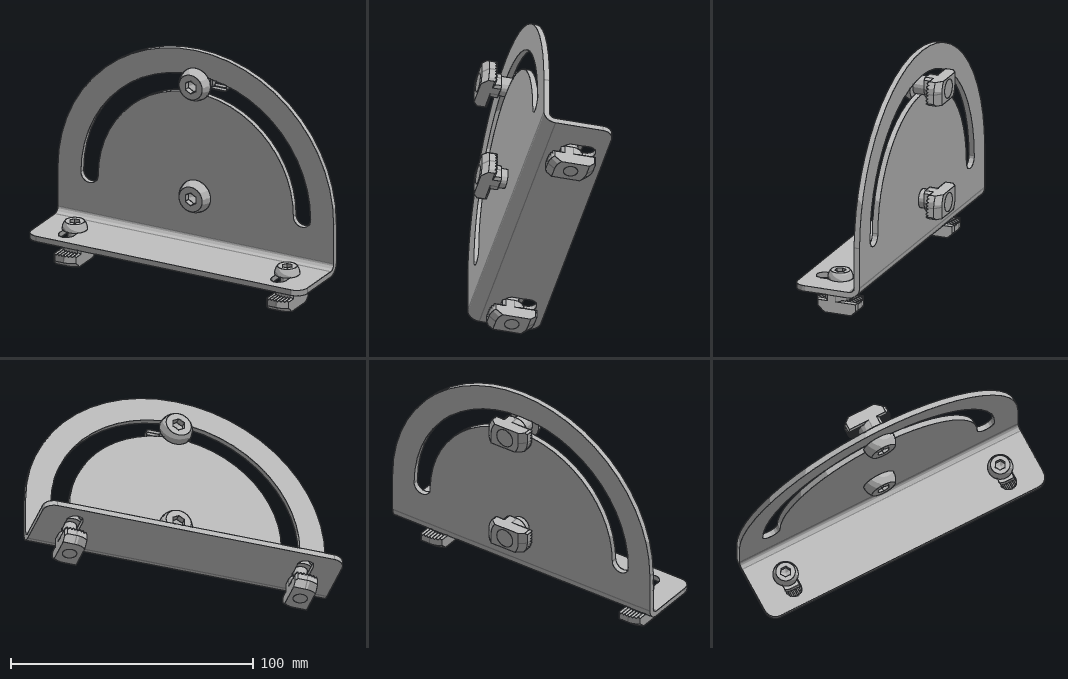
import cadquery as cq
import math


bracket_width = 130.0
plate_thickness = 2.5
flange_depth = 30.0
bend_inner_radius = plate_thickness
bend_outer_radius = bend_inner_radius + plate_thickness
flange_corner_radius = 5.0
outer_arc_radius = bracket_width / 2
pivot_height = 22.5
slot_arc_radius = 50.0
flange_slot_width = 6.8
flange_slot_end = 22.2

large_shank_diameter = 8.0
large_head_diameter = 14.0
large_head_height = 4.4
large_socket_flats = 5.0
large_socket_depth = 2.6
small_shank_diameter = 6.0
small_head_diameter = 10.5
small_head_height = 3.4
small_socket_flats = 4.0
small_socket_depth = 2.0
socket_tip_angle = 120.0
flange_bolt_x = 50.0
flange_bolt_depth = 15.1

nut_width = 10.0
nut_length = 19.4
nut_back_distance = 11.8
nut_total_height = 8.8
wing_height = 6.0
wing_bevel_height = 2.5
wing_bevel_length = 2.9
end_arc_radius = 8.0
corner_chamfer_width = 0.9
wing_chamfer_length = 0.8
neck_chamfer_length = 1.3
tooth_count = 7
tooth_depth = 0.8

grip_length = plate_thickness + nut_back_distance


def make_bracket():
    """Bent plate with a rounded top, a curved slot, a pivot hole and two flange slots."""
    profile = (
        cq.Workplane("YZ", origin=(-bracket_width / 2, 0, 0))
        .moveTo(0, pivot_height + outer_arc_radius)
        .lineTo(0, bend_outer_radius)
        .radiusArc((-bend_outer_radius, 0), bend_outer_radius)
        .lineTo(-flange_depth, 0)
        .lineTo(-flange_depth, plate_thickness)
        .lineTo(-bend_outer_radius, plate_thickness)
        .radiusArc((-plate_thickness, bend_outer_radius), -bend_inner_radius)
        .lineTo(-plate_thickness, pivot_height + outer_arc_radius)
        .close()
    )
    bent_plate = profile.extrude(bracket_width)

    front_outline = (
        cq.Workplane("XZ")
        .moveTo(-outer_arc_radius, 0)
        .lineTo(outer_arc_radius, 0)
        .lineTo(outer_arc_radius, pivot_height)
        .threePointArc((0, pivot_height + outer_arc_radius), (-outer_arc_radius, pivot_height))
        .close()
        .extrude(flange_depth)
    )
    bracket = bent_plate.intersect(front_outline)
    bracket = bracket.edges("|Z and <Y").fillet(flange_corner_radius)

    slot_half_width = large_shank_diameter / 2
    slot_outer = slot_arc_radius + slot_half_width
    slot_inner = slot_arc_radius - slot_half_width
    curved_slot = (
        cq.Workplane("XZ", origin=(0, 0, pivot_height))
        .moveTo(-slot_outer, 0)
        .threePointArc((0, slot_outer), (slot_outer, 0))
        .threePointArc((slot_arc_radius, -slot_half_width), (slot_inner, 0))
        .threePointArc((0, slot_inner), (-slot_inner, 0))
        .threePointArc((-slot_arc_radius, -slot_half_width), (-slot_outer, 0))
        .close()
        .extrude(plate_thickness)
    )
    pivot_hole = (
        cq.Workplane("XZ", origin=(0, 0, pivot_height))
        .circle(large_shank_diameter / 2)
        .extrude(plate_thickness)
    )
    slot_middle = (flange_bolt_depth + flange_slot_end) / 2
    slot_length = flange_slot_end - flange_bolt_depth + flange_slot_width
    flange_slots = (
        cq.Workplane("XY")
        .pushPoints([(-flange_bolt_x, -slot_middle), (flange_bolt_x, -slot_middle)])
        .slot2D(slot_length, flange_slot_width, 90)
        .extrude(plate_thickness)
    )
    return bracket.cut(curved_slot).cut(pivot_hole).cut(flange_slots)


def make_bolt(shank_diameter, head_diameter, head_height, socket_flats, socket_depth):
    """Button-head bolt along Z; the head seats at Z = 0 and the shank points down."""
    head_radius = head_diameter / 2
    head_ball = cq.Workplane("XY").sphere(head_radius)
    head_slice = cq.Workplane("XY").circle(head_diameter).extrude(head_height)
    head = head_ball.intersect(head_slice)
    shank = cq.Workplane("XY").circle(shank_diameter / 2).extrude(-grip_length)

    socket_across_corners = socket_flats / math.cos(math.pi / 6)
    tip_radius = socket_across_corners / 2
    tip_depth = tip_radius / math.tan(math.radians(socket_tip_angle / 2))
    socket_prism = (
        cq.Workplane("XY", origin=(0, 0, head_height))
        .transformed(rotate=(0, 0, 90))
        .polygon(6, socket_across_corners)
        .extrude(-socket_depth - tip_depth)
    )
    drill = (
        cq.Workplane("XZ")
        .moveTo(0, head_height)
        .lineTo(tip_radius, head_height)
        .lineTo(tip_radius, head_height - socket_depth)
        .lineTo(0, head_height - socket_depth - tip_depth)
        .close()
        .revolve(360, (0, 0, 0), (0, 1, 0))
    )
    socket = socket_prism.intersect(drill)
    return head.union(shank).cut(socket)


def wing_outline(plane, half_length):
    """Wing plan whose ends are half flat and half rounded, the same after half a turn."""
    half_width = nut_width / 2
    arc_centre_x = half_length - end_arc_radius
    arc_span = math.asin(half_width / end_arc_radius)
    arc_end_x = arc_centre_x + end_arc_radius * math.cos(arc_span)
    arc_middle_x = arc_centre_x + end_arc_radius * math.cos(arc_span / 2)
    arc_middle_y = end_arc_radius * math.sin(arc_span / 2)
    return (
        plane.moveTo(half_length, 0)
        .threePointArc((arc_middle_x, arc_middle_y), (arc_end_x, half_width))
        .lineTo(-half_length, half_width)
        .lineTo(-half_length, 0)
        .threePointArc((-arc_middle_x, -arc_middle_y), (-arc_end_x, -half_width))
        .lineTo(half_length, -half_width)
        .close()
    )


def make_nut_wings():
    """Long toothed base of the nut, with turning clearance at two opposite corners."""
    half_length = nut_length / 2
    half_width = nut_width / 2
    upper_plane = cq.Workplane("XY", origin=(0, 0, wing_bevel_height))
    wings = wing_outline(upper_plane, half_length).extrude(wing_height - wing_bevel_height)

    back_outline = wing_outline(cq.Workplane("XY"), half_length - wing_bevel_length)
    raised_plane = back_outline.workplane(offset=wing_bevel_height)
    wings = wings.union(wing_outline(raised_plane, half_length).loft(ruled=True, combine=True))

    for side in (1, -1):
        corner = (
            cq.Workplane("XY")
            .moveTo(side * half_length, -side * half_width)
            .lineTo(side * (half_length - wing_chamfer_length), -side * half_width)
            .lineTo(side * half_length, -side * (half_width - corner_chamfer_width))
            .close()
            .extrude(wing_height)
        )
        wings = wings.cut(corner)

    pitch = nut_width / tooth_count
    for index in range(tooth_count + 1):
        valley_y = -half_width + index * pitch
        groove = (
            cq.Workplane("YZ", origin=(-half_length, 0, 0))
            .moveTo(valley_y - pitch / 2, wing_height)
            .lineTo(valley_y, wing_height - tooth_depth)
            .lineTo(valley_y + pitch / 2, wing_height)
            .close()
            .extrude(nut_length)
        )
        wings = wings.cut(groove)
    return wings


def make_nut_neck():
    """Square neck with two opposite quarter-round corners and two chamfered ones."""
    half_width = nut_width / 2
    chamfer_x = half_width - neck_chamfer_length
    chamfer_y = half_width - corner_chamfer_width
    diagonal = half_width * math.sqrt(0.5)
    return (
        cq.Workplane("XY")
        .moveTo(half_width, 0)
        .lineTo(half_width, chamfer_y)
        .lineTo(chamfer_x, half_width)
        .lineTo(0, half_width)
        .threePointArc((-diagonal, diagonal), (-half_width, 0))
        .lineTo(-half_width, -chamfer_y)
        .lineTo(-chamfer_x, -half_width)
        .lineTo(0, -half_width)
        .threePointArc((diagonal, -diagonal), (half_width, 0))
        .close()
        .extrude(nut_total_height)
    )


def make_nut(thread_diameter):
    """T-slot nut on the bolt axis, its back flush with the end of the shank."""
    bore = cq.Workplane("XY").circle(thread_diameter / 2).extrude(nut_total_height)
    nut = make_nut_wings().union(make_nut_neck()).cut(bore)
    return nut.translate((0, 0, -grip_length))


def place(body, seat):
    """Move a fastener body so that its head seat lies on the given plane."""
    return body.solids().val().moved(cq.Location(seat))


bracket = make_bracket()

large_bolt = make_bolt(
    large_shank_diameter, large_head_diameter, large_head_height, large_socket_flats, large_socket_depth
)
large_nut = make_nut(large_shank_diameter)
small_bolt = make_bolt(
    small_shank_diameter, small_head_diameter, small_head_height, small_socket_flats, small_socket_depth
)
small_nut = make_nut(small_shank_diameter)

plate_bolts = []
plate_nuts = []
for seat_height in (pivot_height, pivot_height + slot_arc_radius):
    seat = cq.Plane(origin=(0, -plate_thickness, seat_height), xDir=(1, 0, 0), normal=(0, -1, 0))
    plate_bolts.append(place(large_bolt, seat))
    plate_nuts.append(place(large_nut, seat))

flange_bolts = []
flange_nuts = []
for seat_x in (-flange_bolt_x, flange_bolt_x):
    seat = cq.Plane(
        origin=(seat_x, -flange_bolt_depth, plate_thickness), xDir=(0, 1, 0), normal=(0, 0, 1)
    )
    flange_bolts.append(place(small_bolt, seat))
    flange_nuts.append(place(small_nut, seat))

result = cq.Compound.makeCompound(
    [bracket.solids().val(), *plate_bolts, *plate_nuts, *flange_bolts, *flange_nuts]
)